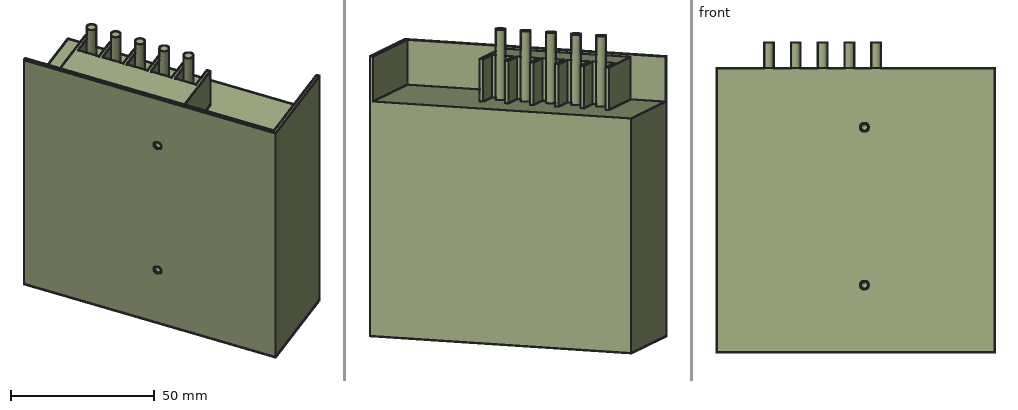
import cadquery as cq

length = 97.0
depth = 36.0
deck_height = 83.2
panel_height = 99.0
panel_thickness = 1.2

block_left = 13.0
block_length = 48.0
block_top = 98.2
step_y = 14.1
rib_end_y = 23.1
rib_thickness = 1.3
terminal_count = 5
terminal_pitch = (block_length - rib_thickness) / terminal_count

pin_diameter = 3.5
pin_y = 16.5
pin_top = 108.0

hole_x = 51.5
hole_heights = (23.4, 78.4)
hole_diameter = 2.5
hole_mouth_diameter = 3.0
hole_depth = 6.0
drill_point_depth = 0.8


def box(x, y, z, size_x, size_y, size_z):
    """Box given by its lowest corner and its sizes."""
    return cq.Workplane("XY").box(size_x, size_y, size_z, centered=False).translate((x, y, z))


def housing():
    body = box(0, 0, 0, length, depth, deck_height)
    front_panel = box(0, 0, 0, length, panel_thickness, panel_height)
    end_panel = box(length - panel_thickness, 0, 0, panel_thickness, depth, panel_height)
    return body.union(front_panel).union(end_panel)


def terminal_block():
    block_height = block_top - deck_height
    block = box(block_left, 0, deck_height, block_length, step_y, block_height)
    for i in range(terminal_count + 1):
        rib_x = block_left + i * terminal_pitch
        block = block.union(box(rib_x, 0, deck_height, rib_thickness, rib_end_y, block_height))
    return block


def pins():
    first_pin_x = block_left + (rib_thickness + terminal_pitch) / 2
    centers = [(first_pin_x + i * terminal_pitch, pin_y) for i in range(terminal_count)]
    plane = cq.Workplane("XY").workplane(offset=deck_height)
    return plane.pushPoints(centers).circle(pin_diameter / 2).extrude(pin_top - deck_height)


def mounting_hole(height):
    """Half profile of the hole, revolved about its axis along Y."""
    mouth_depth = (hole_mouth_diameter - hole_diameter) / 2
    profile = (
        cq.Workplane("XY")
        .lineTo(hole_mouth_diameter / 2, 0)
        .lineTo(hole_diameter / 2, mouth_depth)
        .lineTo(hole_diameter / 2, hole_depth)
        .lineTo(0, hole_depth + drill_point_depth)
        .close()
    )
    return profile.revolve(360, (0, 0, 0), (0, 1, 0)).translate((hole_x, 0, height))


result = housing().union(terminal_block()).union(pins())
for hole_height in hole_heights:
    result = result.cut(mounting_hole(hole_height))